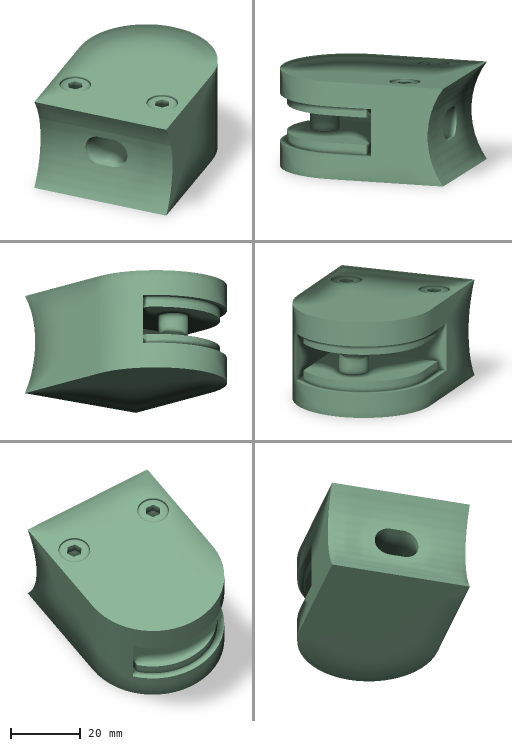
import cadquery as cq
import math

WIDTH = 41.0
LENGTH = 54.65
HEIGHT = 28.5
ROUND_RADIUS = WIDTH / 2
ROUND_Y = LENGTH - ROUND_RADIUS
MID_Z = HEIGHT / 2

SADDLE_RADIUS = 24.15
SADDLE_Y = -math.sqrt(SADDLE_RADIUS**2 - MID_Z**2)

PLATE_THICKNESS = 7.25
SLOT_BACK_Y = 21.7
SIDE_WALL = 5.0
SIDE_WALL_X = WIDTH / 2 - SIDE_WALL
COVER_Z = HEIGHT - PLATE_THICKNESS

PAD_THICKNESS = 3.0
PAD_INSET = 1.95
PAD_RADIUS = ROUND_RADIUS - PAD_INSET
PAD_BACK_Y = SLOT_BACK_Y + PAD_INSET
PAD_SIDE_X = SIDE_WALL_X - PAD_INSET
UPPER_PAD_Z = COVER_Z - PAD_THICKNESS

PIN_DIAMETER = 8.5
PIN_Y = 42.2
PIN_CHAMFER = 0.15
PIN_Z = PLATE_THICKNESS + PAD_THICKNESS
PIN_HEIGHT = UPPER_PAD_Z - PIN_Z

MOUNT_WIDTH = 13.0
MOUNT_HEIGHT = 9.0

SCREW_X = 13.5
SCREW_Y = 13.7
SCREW_PLACES = [(-SCREW_X, -4.0), (SCREW_X, -8.0)]
HEAD_DIAMETER = 9.0
HEAD_HEIGHT = 5.05
HEAD_RECESS = 0.3
HEAD_TOP_Z = HEIGHT - HEAD_RECESS
HEAD_FILLET = 0.6
SHANK_DIAMETER = 5.05
SHANK_LENGTH = 12.0
SOCKET_FLATS = 4.0
SOCKET_CORNERS = SOCKET_FLATS / math.cos(math.radians(30))
SOCKET_DEPTH = 2.5


def round_ended_plate(radius, back_y, bottom_z, thickness):
    """Plate with a straight back at back_y and a half-round end about the clamp's round centre."""
    return (
        cq.Workplane("XY", origin=(0, 0, bottom_z))
        .moveTo(-radius, back_y)
        .lineTo(radius, back_y)
        .lineTo(radius, ROUND_Y)
        .threePointArc((0, ROUND_Y + radius), (-radius, ROUND_Y))
        .close()
        .extrude(thickness)
    )


def box_between(low, high):
    """Axis-aligned box between two opposite corners."""
    size = [b - a for a, b in zip(low, high)]
    return cq.Workplane("XY").box(*size, centered=False).translate(low)


def make_saddle():
    """Cylinder that hollows out the Y = 0 side of the base and cover."""
    return (
        cq.Workplane("YZ", origin=(-WIDTH / 2, 0, 0))
        .center(SADDLE_Y, MID_Z)
        .circle(SADDLE_RADIUS)
        .extrude(WIDTH)
    )


def make_screw_envelope(x):
    """Plain head and shank, the head top just below the cover's top face."""
    head = (
        cq.Workplane("XY", origin=(x, SCREW_Y, HEAD_TOP_Z))
        .circle(HEAD_DIAMETER / 2)
        .extrude(-HEAD_HEIGHT)
    )
    shank = (
        cq.Workplane("XY", origin=(x, SCREW_Y, HEAD_TOP_Z - HEAD_HEIGHT))
        .circle(SHANK_DIAMETER / 2)
        .extrude(-SHANK_LENGTH)
    )
    return head.union(shank)


def cut_screw_holes(body):
    """Cut each screw's envelope from the body, keeping the hole open above the recessed head."""
    for x, _ in SCREW_PLACES:
        recess = (
            cq.Workplane("XY", origin=(x, SCREW_Y, HEAD_TOP_Z))
            .circle(HEAD_DIAMETER / 2)
            .extrude(HEAD_RECESS)
        )
        body = body.cut(make_screw_envelope(x)).cut(recess)
    return body


def make_base():
    """Lower plate, saddle block and the wall that closes the +X side of the glass slot."""
    base = round_ended_plate(ROUND_RADIUS, 0, 0, COVER_Z)
    glass_slot = box_between(
        (-WIDTH / 2, SLOT_BACK_Y, PLATE_THICKNESS),
        (SIDE_WALL_X, LENGTH, COVER_Z),
    )
    mount_slot = (
        cq.Workplane("XZ", origin=(0, 0, MID_Z))
        .slot2D(MOUNT_WIDTH, MOUNT_HEIGHT)
        .extrude(-SLOT_BACK_Y)
    )
    return cut_screw_holes(base.cut(glass_slot).cut(make_saddle()).cut(mount_slot))


def make_cover():
    """Upper plate with the end of the saddle and the screw holes."""
    cover = round_ended_plate(ROUND_RADIUS, 0, COVER_Z, PLATE_THICKNESS)
    return cut_screw_holes(cover.cut(make_saddle()))


def make_pad(bottom_z):
    """Pad following the round end, trimmed clear of the side wall."""
    pad = round_ended_plate(PAD_RADIUS, PAD_BACK_Y, bottom_z, PAD_THICKNESS)
    side_trim = box_between(
        (PAD_SIDE_X, 0, bottom_z),
        (WIDTH / 2, LENGTH, bottom_z + PAD_THICKNESS),
    )
    return pad.cut(side_trim)


def make_pin():
    """Upright round pin with lightly chamfered ends."""
    return (
        cq.Workplane("XY", origin=(0, PIN_Y, PIN_Z))
        .circle(PIN_DIAMETER / 2)
        .extrude(PIN_HEIGHT)
        .faces("<Z or >Z")
        .edges()
        .chamfer(PIN_CHAMFER)
    )


def make_screw(x, socket_angle):
    """Socket screw with a rounded head rim and a hex socket turned by socket_angle degrees."""
    socket = (
        cq.Workplane("XY")
        .polygon(6, SOCKET_CORNERS)
        .extrude(-SOCKET_DEPTH)
        .rotate((0, 0, 0), (0, 0, 1), socket_angle)
        .translate((x, SCREW_Y, HEAD_TOP_Z))
    )
    return make_screw_envelope(x).faces(">Z").edges().fillet(HEAD_FILLET).cut(socket)


base = make_base()
cover = make_cover()
pads = [make_pad(bottom_z) for bottom_z in (PLATE_THICKNESS, UPPER_PAD_Z)]
pin = make_pin()
screws = [make_screw(x, socket_angle) for x, socket_angle in SCREW_PLACES]

result = cq.Compound.makeCompound([
    base.val(),
    cover.val(),
    *[pad.val() for pad in pads],
    pin.val(),
    *[screw.val() for screw in screws],
])